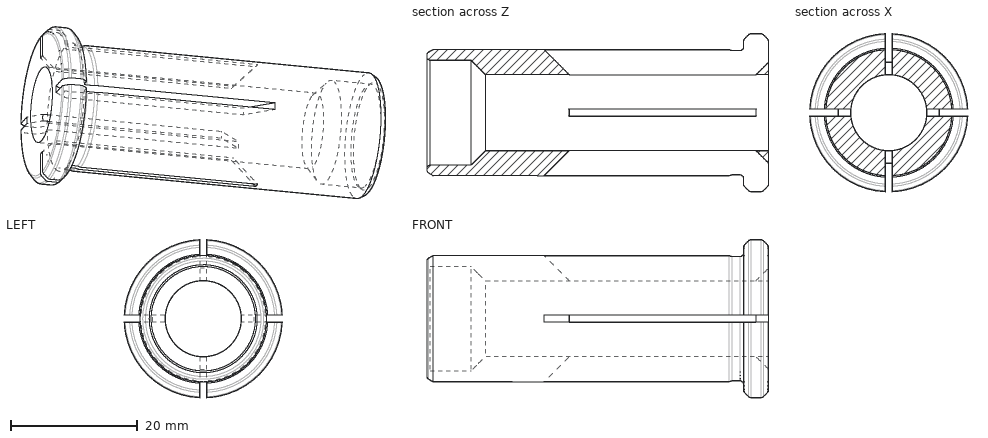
import cadquery as cq
import math

LENGTH = 54.0
BODY_RADIUS = 20.0 / 2
FLANGE_RADIUS = 25.0 / 2
FLANGE_WIDTH = 4.0
FLANGE_FACE_X = LENGTH - FLANGE_WIDTH

EDGE_ROUND = 0.5
FLANGE_CHAMFER = 1.0
LEAD_LENGTH = 1.0
LEAD_ANGLE = math.radians(30.0)
LEAD_RADIUS = BODY_RADIUS - LEAD_LENGTH * math.tan(LEAD_ANGLE)

RELIEF_WIDTH = 2.3
RELIEF_DEPTH = 0.15
RELIEF_RAMP_LENGTH = 0.5
RELIEF_ROUND = 0.6
RELIEF_ROUND_LENGTH = 0.55

BORE_RADIUS = 12.0 / 2
COUNTERBORE_RADIUS = 16.5 / 2
COUNTERBORE_DEPTH = 7.0
CONE_ANGLE = math.radians(45.0)
MOUTH_LENGTH = 0.5
MOUTH_ANGLE = math.radians(30.0)
MOUTH_RADIUS = COUNTERBORE_RADIUS + MOUTH_LENGTH * math.tan(MOUTH_ANGLE)

SLOT_COUNT = 4
SLOT_WIDTH = 1.1
SLOT_BORE_START_X = 22.5
SLOT_BORE_END_X = 52.0
SLOT_OVERCUT = 1.0
SLOT_BOTTOM_RADIUS = BORE_RADIUS - SLOT_OVERCUT
SLOT_TOP_RADIUS = FLANGE_RADIUS + SLOT_OVERCUT


def revolve_about_x(profile):
    return profile.close().revolve(360, (0, 0, 0), (1, 0, 0))


def make_body():
    relief_start_x = FLANGE_FACE_X - RELIEF_WIDTH
    relief_radius = BODY_RADIUS - RELIEF_DEPTH
    round_centre_x = FLANGE_FACE_X - RELIEF_ROUND_LENGTH
    round_centre_radius = relief_radius + RELIEF_ROUND
    round_angle = math.asin(RELIEF_ROUND_LENGTH / RELIEF_ROUND)
    round_middle = (
        round_centre_x + RELIEF_ROUND * math.sin(round_angle / 2),
        round_centre_radius - RELIEF_ROUND * math.cos(round_angle / 2),
    )
    round_end = (FLANGE_FACE_X, round_centre_radius - RELIEF_ROUND * math.cos(round_angle))
    flange_face_radius = FLANGE_RADIUS - FLANGE_CHAMFER
    blank = revolve_about_x(
        cq.Workplane("XY")
        .lineTo(0, LEAD_RADIUS)
        .lineTo(LEAD_LENGTH, BODY_RADIUS)
        .lineTo(relief_start_x, BODY_RADIUS)
        .lineTo(relief_start_x + RELIEF_RAMP_LENGTH, relief_radius)
        .lineTo(round_centre_x, relief_radius)
        .threePointArc(round_middle, round_end)
        .lineTo(FLANGE_FACE_X, flange_face_radius)
        .lineTo(FLANGE_FACE_X + FLANGE_CHAMFER, FLANGE_RADIUS)
        .lineTo(LENGTH - FLANGE_CHAMFER, FLANGE_RADIUS)
        .lineTo(LENGTH, flange_face_radius)
        .lineTo(LENGTH, 0)
    )
    rounded_radii = (LEAD_RADIUS, flange_face_radius, FLANGE_RADIUS)
    corners = blank.edges("%CIRCLE").filter(
        lambda edge: any(math.isclose(edge.radius(), radius) for radius in rounded_radii)
    )
    return corners.fillet(EDGE_ROUND)


def make_bore():
    cone_length = (COUNTERBORE_RADIUS - BORE_RADIUS) / math.tan(CONE_ANGLE)
    return revolve_about_x(
        cq.Workplane("XY")
        .moveTo(0, 0)
        .lineTo(0, MOUTH_RADIUS)
        .lineTo(MOUTH_LENGTH, COUNTERBORE_RADIUS)
        .lineTo(COUNTERBORE_DEPTH, COUNTERBORE_RADIUS)
        .lineTo(COUNTERBORE_DEPTH + cone_length, BORE_RADIUS)
        .lineTo(LENGTH, BORE_RADIUS)
        .lineTo(LENGTH, 0)
    )


def make_slot():
    flare = SLOT_TOP_RADIUS - BORE_RADIUS
    return (
        cq.Workplane("XZ")
        .moveTo(SLOT_BORE_START_X + SLOT_OVERCUT, SLOT_BOTTOM_RADIUS)
        .lineTo(SLOT_BORE_END_X - SLOT_OVERCUT, SLOT_BOTTOM_RADIUS)
        .lineTo(SLOT_BORE_END_X + flare, SLOT_TOP_RADIUS)
        .lineTo(SLOT_BORE_START_X - flare, SLOT_TOP_RADIUS)
        .close()
        .extrude(SLOT_WIDTH / 2, both=True)
    )


result = make_body().cut(make_bore())
for index in range(SLOT_COUNT):
    angle = index * 360.0 / SLOT_COUNT
    result = result.cut(make_slot().rotate((0, 0, 0), (1, 0, 0), angle))